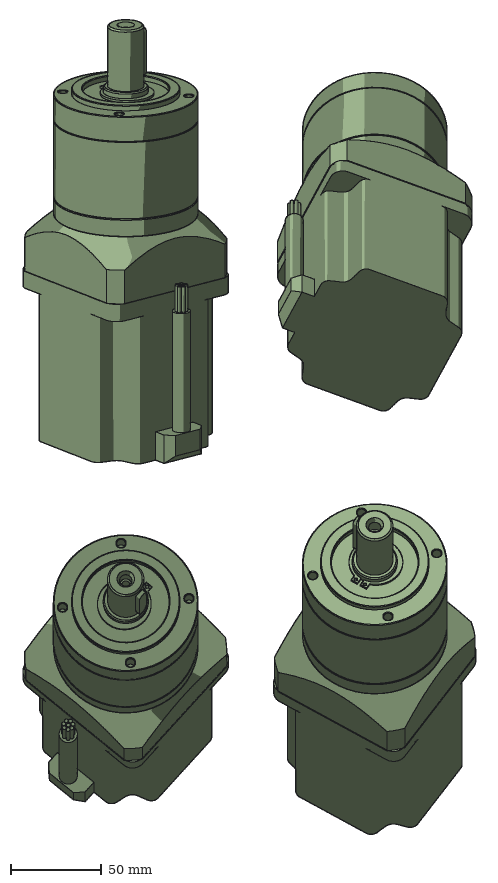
import cadquery as cq
import math


motor_width = 85.0
motor_height = 96.0
motor_flange_thickness = 10.0
motor_corner_radius = 7.5
motor_body_height = motor_height - motor_flange_thickness

face_half_width = 21.8
lobe_radius = 5.0
wall_angle = 16.0
wall_length = 6.0

connector_end = 54.5
connector_width = 26.6
connector_height = 16.5
connector_chamfer = 4.5
cable_radius = 5.0
cable_x = 48.7
cable_top = motor_body_height
wire_radius = 1.08
wire_circle_radius = 2.6
wire_count = 7
wire_length = 15.0

adapter_width = 86.0
adapter_corner_radius = 56.0
cone_start = 115.7
cone_end = 129.5
body_radius = 40.0
lower_joint = 140.0
upper_joint = 185.3
body_top = 200.0
edge_chamfer = 0.5

pilot_radius = 30.0
pilot_top = 203.0
recess_radius = 24.0
hub_radius = 12.5
hub_top = 204.5
hub_chamfer = 0.7
rim_chamfer = 0.5

mount_hole_radius = 2.5
mount_hole_rim_radius = 3.0
mount_hole_depth = 9.5
mouth_chamfer_angle = 90.0
mount_circle_radius = 35.0
mount_hole_count = 4

ring_radius = 15.0
ring_offset = 1.2
ring_thickness = 1.2
lug_end = 16.3
lug_overlap = 0.5
lug_outer = 5.0
lug_inner = 1.0
lug_hole_radius = 1.0
lug_hole_x = 14.6

shaft_radius = 10.0
shaft_top = 240.0
shaft_chamfer = 1.0
center_hole_radius = 3.4
center_hole_depth = 9.5
core_hole_radius = 2.2
core_hole_depth = 19.2
countersink_radius = 4.8
countersink_angle = 60.0
drill_tip_angle = 118.0

key_width = 6.0
key_bottom = 208.3
key_top = 236.5
key_height = 12.5
key_seat = 7.2


def cylinder(radius, height, x, y, bottom):
    return cq.Workplane("XY", origin=(x, y, bottom)).circle(radius).extrude(height)


def drilled_hole(radius, depth, x, y, top):
    """Blind hole with a conical bottom."""
    tip_depth = radius / math.tan(math.radians(drill_tip_angle / 2))
    profile = [(0, 0), (radius, 0), (radius, -depth), (0, -depth - tip_depth)]
    hole = cq.Workplane("XZ").polyline(profile).close().revolve(360, (0, 0, 0), (0, 1, 0))
    return hole.translate((x, y, top))


def motor_section():
    """Square outline with a scalloped pocket and two rounded lobes at each corner."""
    half = motor_width / 2
    turn = math.radians(90 - wall_angle)
    tilt = math.radians(wall_angle)

    def on_lobe(angle):
        return (
            half - lobe_radius * (1 - math.cos(angle)),
            face_half_width + lobe_radius * math.sin(angle),
        )

    lobe_start = on_lobe(0)
    lobe_middle = on_lobe(turn / 2)
    lobe_end = on_lobe(turn)
    wall_end = (
        lobe_end[0] - wall_length * math.cos(tilt),
        lobe_end[1] + wall_length * math.sin(tilt),
    )
    pocket_chord = math.sqrt(2) * (wall_end[0] - wall_end[1])
    pocket_depth = pocket_chord / 2 * math.tan(math.radians(45 - wall_angle) / 2)
    pocket_middle = (wall_end[0] + wall_end[1]) / 2 - pocket_depth / math.sqrt(2)

    def turned(point, quarter):
        x, y = point
        for _ in range(quarter):
            x, y = -y, x
        return (x, y)

    def mirrored(point):
        return (point[1], point[0])

    section = cq.Workplane("XY").moveTo(*lobe_start)
    for quarter in range(4):
        if quarter > 0:
            section = section.lineTo(*turned(lobe_start, quarter))
        section = section.threePointArc(turned(lobe_middle, quarter), turned(lobe_end, quarter))
        section = section.lineTo(*turned(wall_end, quarter))
        section = section.threePointArc(
            turned((pocket_middle, pocket_middle), quarter), turned(mirrored(wall_end), quarter)
        )
        section = section.lineTo(*turned(mirrored(lobe_end), quarter))
        section = section.threePointArc(
            turned(mirrored(lobe_middle), quarter), turned(mirrored(lobe_start), quarter)
        )
    return section.close()


def make_connector():
    """Cable outlet block with its cable and the bare wire ends."""
    half = motor_width / 2
    length = connector_end - half
    block = (
        cq.Workplane("XY")
        .box(length, connector_width, connector_height, centered=(False, True, False))
        .translate((half, 0, 0))
        .faces(">X").edges("|Z or <Z").chamfer(connector_chamfer)
    )
    cable = cylinder(cable_radius, cable_top - connector_height, cable_x, 0, connector_height)
    connector = block.union(cable)

    wire_places = [(cable_x, 0)]
    for i in range(wire_count):
        angle = math.radians(90) + 2 * math.pi * i / wire_count
        wire_places.append(
            (cable_x + wire_circle_radius * math.cos(angle), wire_circle_radius * math.sin(angle))
        )
    for x, y in wire_places:
        connector = connector.union(cylinder(wire_radius, wire_length, x, y, cable_top))
    return connector


def make_motor():
    body = motor_section().extrude(motor_body_height)
    flange = (
        cq.Workplane("XY", origin=(0, 0, motor_body_height))
        .rect(motor_width, motor_width)
        .extrude(motor_flange_thickness)
        .edges("|Z").fillet(motor_corner_radius)
    )
    return body.union(flange).union(make_connector())


def make_housing():
    """Turned housing and shaft, with the wide adapter end cut square."""
    profile = [
        (0, motor_height),
        (adapter_corner_radius, motor_height),
        (adapter_corner_radius, cone_start),
        (body_radius - edge_chamfer, cone_end),
        (body_radius, cone_end + edge_chamfer),
        (body_radius, lower_joint - edge_chamfer),
        (body_radius - edge_chamfer, lower_joint),
        (body_radius, lower_joint + edge_chamfer),
        (body_radius, upper_joint - edge_chamfer),
        (body_radius - edge_chamfer, upper_joint),
        (body_radius, upper_joint),
        (body_radius, body_top - edge_chamfer),
        (body_radius - edge_chamfer, body_top),
        (pilot_radius, body_top),
        (pilot_radius, pilot_top - rim_chamfer),
        (pilot_radius - rim_chamfer, pilot_top),
        (recess_radius + rim_chamfer, pilot_top),
        (recess_radius, pilot_top - rim_chamfer),
        (recess_radius, body_top),
        (hub_radius, body_top),
        (hub_radius, hub_top - hub_chamfer),
        (hub_radius - hub_chamfer, hub_top),
        (shaft_radius, hub_top),
        (shaft_radius, shaft_top - shaft_chamfer),
        (shaft_radius - shaft_chamfer, shaft_top),
        (0, shaft_top),
    ]
    turned_part = cq.Workplane("XZ").polyline(profile).close().revolve(360, (0, 0, 0), (0, 1, 0))
    square = (
        cq.Workplane("XY", origin=(0, 0, motor_height))
        .rect(adapter_width, adapter_width)
        .extrude(shaft_top - motor_height)
    )
    return turned_part.intersect(square)


def make_retaining_ring():
    """Eccentric ring with two eyed lugs on the -X side."""
    ring = cylinder(ring_radius, ring_thickness, ring_offset, 0, body_top)
    lug_start = hub_radius - lug_overlap
    lug_width = lug_outer - lug_inner
    for side in (-1, 1):
        lug_y = side * (lug_outer + lug_inner) / 2
        lug = (
            cq.Workplane("XY", origin=(-(lug_end + lug_start) / 2, lug_y, body_top))
            .rect(lug_end - lug_start, lug_width)
            .extrude(ring_thickness)
        )
        eye = cylinder(lug_hole_radius, ring_thickness, -lug_hole_x, lug_y, body_top)
        ring = ring.union(lug).cut(eye)
    gap = (
        cq.Workplane("XY", origin=(-(lug_end + lug_start) / 2, 0, body_top))
        .rect(lug_end - lug_start, 2 * lug_inner)
        .extrude(ring_thickness)
    )
    return ring.cut(gap)


def make_key():
    """Round-ended key on the +Y side of the shaft."""
    key_length = key_top - key_bottom
    return (
        cq.Workplane("XZ", origin=(0, key_seat, (key_bottom + key_top) / 2))
        .slot2D(key_length, key_width, 90)
        .extrude(key_seat - key_height)
    )


def countersink(radius, angle, x, y, top):
    """Conical cutter of the given full angle, with its widest circle at the top."""
    depth = radius / math.tan(math.radians(angle / 2))
    profile = [(0, 0), (radius, 0), (0, -depth)]
    cone = cq.Workplane("XZ").polyline(profile).close().revolve(360, (0, 0, 0), (0, 1, 0))
    return cone.translate((x, y, top))


def make_center_hole():
    """Stepped hole with a countersunk mouth in the end of the shaft."""
    mouth = countersink(countersink_radius, countersink_angle, 0, 0, shaft_top)
    bore = cylinder(center_hole_radius, center_hole_depth, 0, 0, shaft_top - center_hole_depth)
    core = drilled_hole(core_hole_radius, core_hole_depth, 0, 0, shaft_top)
    return mouth.union(bore).union(core)


def make_mount_hole(x, y):
    """Blind hole with a chamfered mouth in the front face of the housing."""
    mouth = countersink(mount_hole_rim_radius, mouth_chamfer_angle, x, y, body_top)
    return mouth.union(drilled_hole(mount_hole_radius, mount_hole_depth, x, y, body_top))


def make_gearbox():
    gearbox = make_housing().union(make_retaining_ring()).union(make_key())
    gearbox = gearbox.cut(make_center_hole())
    for i in range(mount_hole_count):
        angle = 2 * math.pi * (i + 0.5) / mount_hole_count
        x = mount_circle_radius * math.cos(angle)
        y = mount_circle_radius * math.sin(angle)
        gearbox = gearbox.cut(make_mount_hole(x, y))
    return gearbox


motor = make_motor()
gearbox = make_gearbox()
result = cq.Compound.makeCompound([motor.val(), gearbox.val()])